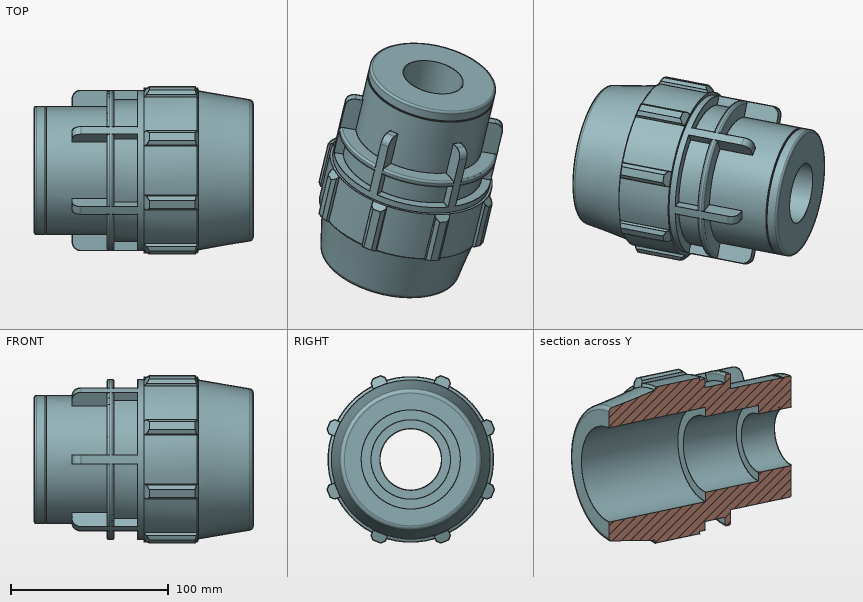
import cadquery as cq

length = 139.0

body_radius = 40.7
body_edge_fillet = 1.4
groove_start = 7.0
groove_width = 0.7
groove_depth = 0.4
collar_radius = 45.0

flange_radius = 50.9
ring_start = 46.3
ring_width = 4.3
ring_fillet = 1.4
flange_start = 65.6
nut_start = 69.8
nut_radius = 52.5
nut_end = 103.4
nut_chamfer_length = 1.0
taper_start = nut_end + nut_chamfer_length
taper_start_radius = 50.5
taper_end_radius = 44.5
mouth_fillet = 2.8

inlet_radius = 19.5
inlet_depth = 25.3
passage_radius = 50.5 / 2
socket_radius = 63.0 / 2
socket_start = flange_start

rib_count = 6
rib_start = 24.0
rib_thickness = 5.5
rib_fillet = 5.5

grip_count = 8
grip_top_radius = 56.5
grip_top_width = 5.3
grip_base_width = 9.7
grip_shoulder_radius = 54.2
grip_front_slope = 3.3
grip_back_slope = 1.4

seam_angle = 180.0 / rib_count
joint_overlap = 2.8


def turned(start, end, radius):
    """Solid cylinder along X between two stations."""
    cylinder = cq.Workplane("YZ").workplane(offset=start).circle(radius).extrude(end - start)
    return cylinder.rotate((0, 0, 0), (1, 0, 0), seam_angle)


def around_axis(shape, index, count, first_angle=0.0):
    """Copy of a shape turned about X to its place in a ring of `count`."""
    return shape.rotate((0, 0, 0), (1, 0, 0), first_angle + index * 360.0 / count)


def make_body():
    body = turned(0, flange_start, body_radius).faces("<X").edges().fillet(body_edge_fillet)
    groove_end = groove_start + groove_width
    groove = turned(groove_start, groove_end, body_radius + groove_depth)
    groove = groove.cut(turned(groove_start, groove_end, body_radius - groove_depth))
    ring_end = ring_start + ring_width
    ring = turned(ring_start, ring_end, flange_radius).edges().fillet(ring_fillet)
    collar = turned(ring_start + ring_width / 2, flange_start, collar_radius)
    flange = turned(flange_start, nut_start, flange_radius)
    return body.cut(groove).union(collar).union(ring).union(flange)


def make_nut():
    profile = [
        (nut_start, 0),
        (nut_start, nut_radius),
        (nut_end, nut_radius),
        (taper_start, taper_start_radius),
        (length, taper_end_radius),
        (length, 0),
    ]
    nut = cq.Workplane("XY").polyline(profile).close().revolve(360, (0, 0, 0), (1, 0, 0))
    return nut.faces(">X").edges().fillet(mouth_fillet)


def make_guide_ribs():
    """All guide ribs: a round-cornered collar kept only inside flat slabs through the axis."""
    profile = (
        cq.Workplane("XY")
        .moveTo(rib_start, 0)
        .lineTo(rib_start, flange_radius - rib_fillet)
        .radiusArc((rib_start + rib_fillet, flange_radius), rib_fillet)
        .lineTo(flange_start, flange_radius)
        .lineTo(flange_start, 0)
        .close()
    )
    rounded_collar = profile.revolve(360, (0, 0, 0), (1, 0, 0))
    rounded_collar = rounded_collar.rotate((0, 0, 0), (1, 0, 0), seam_angle)
    slab = cq.Workplane("XY").box(length, 2 * nut_radius, rib_thickness).translate((length / 2, 0, 0))
    slabs = slab
    for i in range(1, rib_count // 2):
        slabs = slabs.union(around_axis(slab, i, rib_count))
    return rounded_collar.intersect(slabs)


def make_grip():
    """Grip rib on the +Y side: upright sides, sloping shoulders and sloping ends."""
    root_radius = nut_radius - joint_overlap
    half_top = grip_top_width / 2
    half_base = grip_base_width / 2
    section = [
        (root_radius, -half_base),
        (grip_shoulder_radius, -half_base),
        (grip_top_radius, -half_top),
        (grip_top_radius, half_top),
        (grip_shoulder_radius, half_base),
        (root_radius, half_base),
    ]
    bar = (
        cq.Workplane("YZ").workplane(offset=nut_start)
        .polyline(section).close().extrude(taper_start - nut_start)
    )
    side_outline = [
        (nut_start, root_radius),
        (nut_start, nut_radius),
        (nut_start + grip_front_slope, grip_top_radius),
        (nut_end - grip_back_slope, grip_top_radius),
        (taper_start, taper_start_radius),
        (taper_start, root_radius),
    ]
    side = (
        cq.Workplane("XY", origin=(0, 0, -half_base))
        .polyline(side_outline).close().extrude(grip_base_width)
    )
    return bar.intersect(side)


result = make_body().union(make_guide_ribs()).union(make_nut())

grip = make_grip()
half_grip_pitch = 180.0 / grip_count
for i in range(grip_count):
    result = result.union(around_axis(grip, i, grip_count, half_grip_pitch))

result = (
    result.cut(turned(0, inlet_depth, inlet_radius))
    .cut(turned(inlet_depth, socket_start, passage_radius))
    .cut(turned(socket_start, length, socket_radius))
)